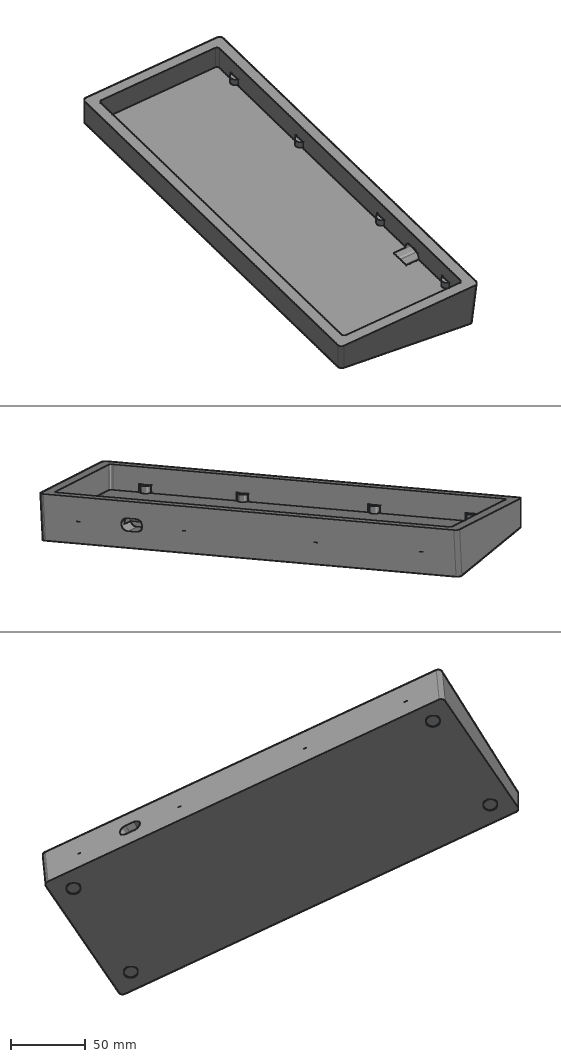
import cadquery as cq
import math

LENGTH = 302.7
WIDTH = 112.2
TILT = math.radians(7)
FRONT_HEIGHT = 19.5
OUTER_RADIUS = 3

WALL = 8
CAVITY_DEPTH = 17.4
INNER_RADIUS = 2

POST_RADIUS = 3.5
POST_REACH = 2.8
POST_HEIGHT = 5
SCALLOP_HEIGHT = 5.5
SCALLOP_GAP = 1
POST_X_REAR = (-123.9, -47.6, 47.6, 123.9)
POST_X_FRONT = (-117.8, -47.6, 47.6, 117.8)

PORT_X = 85
PORT_WIDTH = 15.1
PORT_HEIGHT = 9
PORT_RISE = 1
PORT_RUN = 10

FOOT_RADIUS = 4.75
FOOT_DEPTH = 1
FOOT_INSET_X = 15
FOOT_INSET_ALONG = 14

FRONT_Y = -WIDTH / 2
REAR_Y = WIDTH / 2
FLOOR_Z = -CAVITY_DEPTH
CAVITY_LENGTH = LENGTH - 2 * WALL
CAVITY_WIDTH = WIDTH - 2 * WALL

SLOPE_LENGTH = WIDTH * math.cos(TILT) - FRONT_HEIGHT * math.sin(TILT)
BOTTOM_REAR_Y = FRONT_Y + SLOPE_LENGTH * math.cos(TILT)
BOTTOM_REAR_Z = -FRONT_HEIGHT - SLOPE_LENGTH * math.sin(TILT)


def make_body():
    """Wedge with its four upright corner edges rounded."""
    profile = [
        (FRONT_Y, 0),
        (FRONT_Y, -FRONT_HEIGHT),
        (BOTTOM_REAR_Y, BOTTOM_REAR_Z),
        (REAR_Y, 0),
    ]
    wedge = cq.Workplane("YZ").polyline(profile).close().extrude(LENGTH / 2, both=True)
    upright_edges = wedge.faces("<Y or >Y").edges("not #Z").edges("not |X")
    return upright_edges.fillet(OUTER_RADIUS)


def make_cavity():
    cavity = cq.Workplane("XY").rect(CAVITY_LENGTH, CAVITY_WIDTH).extrude(FLOOR_Z)
    return cavity.edges("|Z").fillet(INNER_RADIUS)


def post_centres():
    """Post axes lie just behind the cavity walls."""
    offset = CAVITY_WIDTH / 2 + POST_RADIUS - POST_REACH
    rear = [(x, offset) for x in POST_X_REAR]
    front = [(x, -offset) for x in POST_X_FRONT]
    return rear + front


def cylinders_at_posts(radius, height):
    """Upright cylinders standing on the cavity floor, one on each post axis."""
    floor_plane = cq.Workplane("XY").workplane(offset=FLOOR_Z)
    return floor_plane.pushPoints(post_centres()).circle(radius).extrude(height)


def make_port():
    """Slot with rounded ends, running from the cavity floor out through the rear wall."""
    start_y = CAVITY_WIDTH / 2 - PORT_RUN
    plane = cq.Workplane("XZ", origin=(PORT_X, start_y, FLOOR_Z + PORT_RISE))
    return plane.slot2D(PORT_WIDTH, PORT_HEIGHT).extrude(start_y - REAR_Y)


def make_foot_recesses():
    """Four discs sunk square into the sloping underside."""
    slope_plane = cq.Plane(
        origin=(0, FRONT_Y, -FRONT_HEIGHT),
        xDir=(1, 0, 0),
        normal=(0, math.sin(TILT), math.cos(TILT)),
    )
    foot_x = LENGTH / 2 - FOOT_INSET_X
    centres = [
        (x, along)
        for x in (-foot_x, foot_x)
        for along in (FOOT_INSET_ALONG, SLOPE_LENGTH - FOOT_INSET_ALONG)
    ]
    return cq.Workplane(slope_plane).pushPoints(centres).circle(FOOT_RADIUS).extrude(FOOT_DEPTH)


result = make_body().cut(make_cavity())
result = result.cut(cylinders_at_posts(POST_RADIUS + SCALLOP_GAP, SCALLOP_HEIGHT))
result = result.union(cylinders_at_posts(POST_RADIUS, POST_HEIGHT))
result = result.cut(make_port())
result = result.cut(make_foot_recesses())